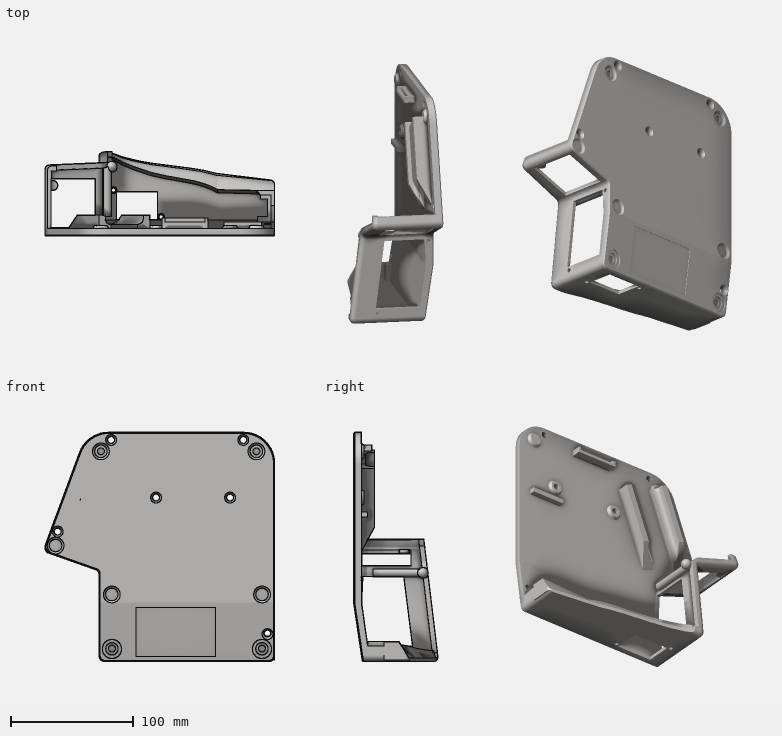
import cadquery as cq
import math

width = 187.63
height = 187.32
back_foot_y = 69.42

plate = 6.35
bend_z = 48.3
lean_back = 7.2
lean_angle = math.degrees(math.atan(lean_back / bend_z))
lean_thickness = plate / math.cos(math.radians(lean_angle))
front_wall_y = lean_back + lean_thickness
front_chamfer = 1.0

side_x = 44.2
flare_tip = (-1.46, 90.3)
flare_root_z = 74.1
slope_top_x = 34.4
top_radius = 25.4
corner_radius = 5.0
root_radius = 3.8

wall = 3.0
rim_width = 7.0
rim_thickness = 4.3
flare_top_z = 100.0
sill_z = 12.7
back_slope = 0.12
back_fillet = 4.0
left_end_x = 55.0

outer_curve = [(left_end_x, 67.9), (65.9, 64.0), (99.0, 58.0), (140.2, 51.3)]
outer_corner_y = 46.0
outer_corner_radius = 4.0
crest_curve = [
    (left_end_x, 65.0),
    (62.8, 60.8),
    (75.0, 55.9),
    (90.0, 51.2),
    (132.8, 41.9),
    (141.0, 38.0),
]
crest_corner = (173.0, 37.1)
crest_end = (176.0, 33.5)
lip_base_z = wall / 2
crest_left_z = 9.0
crest_right_z = 16.4
lip_width = 2.6
lip_front_y = 25.0

pillar_x = 51.3
pillar_z = 72.5
pillar_d = 6.6
pillar_y = (16.0, 57.0)
knob_centre = (54.6, 56.6, pillar_z)
knob_d = 8.8

side_window = [(11.5, sill_z), (6.7, bend_z), (7.7, 69.5), (40.9, 69.5), (48.1, sill_z)]
flare_window_x = (5.1, 41.0)
flare_window_y = (6.9, 46.8)
floor_window_x = (58.6, 91.8)
floor_window_y = (front_wall_y, 36.1)
tab_centre = (6.5, 41.4)
tab_d = 8.2
tab_z = (88.6, 91.5)

screw_d = 5.5
screw_sink_d = 8.89
screw_sink_depth = 3.0
corner_screws = [(54.1, 181.0), (162.0, 181.0), (10.5, 106.2)]
middle_screws = [(90.8, 134.0), (151.2, 134.0)]
lean_screw = (181.7, 22.6)
foot_d = 13.7
foot_floor_d = 10.16
foot_depth = 1.77
foot_pin_d = 5.59
foot_pin_depth = 1.5
pinned_feet = [(45.8, 171.7), (172.7, 171.7)]
plain_feet = [(8.8, 94.8), (54.7, 54.9), (177.3, 54.9)]
lean_feet = [(54.8, 10.3), (177.2, 10.3)]
lean_foot_steps = [(15.7, 1.2), (10.16, 2.4), (5.61, 3.6)]
label_x = (74.3, 139.2)
label_z = (4.4, 44.3)
label_depth = 0.5

boss_base_d = 14.0
boss_top_d = 10.16
boss_height = 2.3
root_depth = 0.5
rail_corner = (44.1, 172.9)
rail_back_y = 17.2
rail_ledge_y = 9.7
rail_arc_y = 14.5
rail_width = 5.6
rail_foot_width = 10.6
rail_pair_width = 44.3
rail_base_length = 72.0
rail_top_length = 51.0
upper_bar_x = (95.5, 133.0)
upper_bar_y = 14.9
upper_bar_z = (172.0, 177.0)
bar_notch_x = (98.0, 130.7)
bar_notch_y = 11.5
bar_notch_z = 174.5
lower_bar_x = (146.2, 177.0)
lower_bar_y = 11.5
lower_bar_z = (118.0, 122.0)

holder_top_z = 16.7
holder_outer_x = width - wall
holder_back_x = (181.9, holder_outer_x)
holder_back_flange = ((176.1, holder_outer_x), (30.5, 33.8))
holder_front_flange = ((173.6, holder_outer_x), (11.5, 16.2))

pin_hole_d = 3.5
pin_hole_depth = 2.5
side_pins = [(46.3, 9.4), (4.8, 67.8)]
floor_screw_d = 3.5
floor_sink_d = 5.5
floor_sink_depth = 1.0
floor_screws = [(56.0, 37.6), (94.9, 15.7)]

far = 300.0
tolerance = 0.01


def front_y(z):
    """Y of the front face at height z."""
    return lean_back * max(0.0, 1.0 - z / bend_z)


def back_y(z):
    """Y of the sloping back plane at height z."""
    return back_foot_y - back_slope * z


def box(x, y, z):
    """Box between the (low, high) limits on each axis."""
    size = [high - low for low, high in (x, y, z)]
    return cq.Workplane("XY").box(*size, centered=False).translate((x[0], y[0], z[0]))


def round_bar(start, direction, length, start_d, end_d=None):
    """Cylinder, or cone when end_d differs, from start along direction."""
    place = (cq.Vector(*start), cq.Vector(*direction))
    if end_d is None:
        return cq.Workplane("XY").add(cq.Solid.makeCylinder(start_d / 2, length, *place))
    return cq.Workplane("XY").add(cq.Solid.makeCone(start_d / 2, end_d / 2, length, *place))


def outline(inset=0.0):
    """Shell outline, moved inwards by inset, as a long bar along Y."""
    points = [
        (side_x, 0),
        (width, 0),
        (width, height),
        (slope_top_x, height),
        flare_tip,
        (side_x, flare_root_z),
    ]
    bar = cq.Workplane("XZ").polyline(points).close().extrude(-far)
    bar = bar.edges("|Y").edges(">Z").fillet(top_radius)
    bar = bar.edges("|Y").edges("<Z or <X").fillet(corner_radius)
    root_edge = cq.selectors.NearestToPointSelector((side_x, far / 2, flare_root_z))
    bar = bar.edges("|Y").edges(root_edge).fillet(root_radius)
    if inset:
        wire = bar.faces("<Y").wires().vals()[0].offset2D(-inset)[0]
        bar = cq.Workplane("XY").add(cq.Solid.extrudeLinear(wire, [], cq.Vector(0, far, 0)))
    return bar


def side_profile(points):
    """Prism along X of an outline given in Y and Z."""
    return cq.Workplane("YZ").polyline(points).close().extrude(2 * far, both=True)


def behind_plate(low_z, back_offset=None):
    """Space behind the plate above low_z, up to back_offset in front of the back plane."""
    low_back, high_back = far, far
    if back_offset is not None:
        low_back = back_y(low_z) - back_offset
        high_back = back_y(height) - back_offset
    points = [
        (front_y(low_z) + lean_thickness, low_z),
        (plate, bend_z),
        (plate, height),
        (high_back, height),
        (low_back, low_z),
    ]
    return side_profile(points)


def front_rim(body):
    """Outer edges of the front, without the line where it bends."""
    rim = []
    for edge in body.edges().vals():
        ends = [edge.startPoint(), edge.endPoint()]
        on_front = all(abs(p.y - front_y(p.z)) < tolerance for p in ends)
        on_bend = all(abs(p.z - bend_z) < tolerance for p in ends)
        if on_front and not on_bend:
            rim.append(edge)
    return rim


def block():
    """Solid outer body with its rounded back and chamfered front."""
    points = [
        (front_y(0), 0),
        (0, bend_z),
        (0, height),
        (back_y(height), height),
        (back_y(0), 0),
    ]
    body = outline().intersect(side_profile(points))
    body = body.faces(">Y").edges().fillet(back_fillet)
    return body.newObject(front_rim(body)).chamfer(front_chamfer)


def shell():
    """Hollow the body and open it at the top, the right and the back."""
    cavity = outline(wall).intersect(behind_plate(wall, rim_thickness))
    back_opening = outline(rim_width).intersect(behind_plate(wall))
    body = block().cut(cavity).cut(back_opening)
    body = body.cut(box((-far, far), (plate, far), (flare_top_z, far)))
    right_opening = behind_plate(sill_z).intersect(box((left_end_x, far), (0, far), (0, far)))
    return body.cut(right_opening)


def curved_back(body):
    """Trim the back of the floor to its curve and add the sloping lip."""
    behind_crest = box((left_end_x, far), (crest_end[1], far), (wall, far))
    body = body.cut(behind_crest)

    crest_slope = (crest_right_z - crest_left_z) / (width - left_end_x)
    stretch = math.hypot(1, crest_slope)
    crest_plane = cq.Plane(
        origin=(left_end_x, 0, crest_left_z), xDir=(1, 0, crest_slope), normal=(-crest_slope, 0, 1)
    )

    def on_crest(points):
        """X, Y points as coordinates in the tilted plane of the crest."""
        return [((x - left_end_x) * stretch, y) for x, y in points]

    def ruled_solid(lower, upper):
        """Solid with straight sides between two closed outlines."""
        wires = [lower.wires().val(), upper.wires().val()]
        return cq.Workplane("XY").add(cq.Solid.makeLoft(wires, True))

    def closed_outline(plane, curve, corners):
        """Smooth curve closed by straight lines through the corners."""
        sketch = cq.Workplane(plane).spline(curve)
        for corner in corners:
            sketch = sketch.lineTo(*corner)
        return sketch.close()

    lip_front = [(width, lip_front_y), (left_end_x, lip_front_y)]
    base_plane = cq.Plane.XY(origin=(0, 0, lip_base_z))
    base = closed_outline(base_plane, outer_curve, [(width, outer_corner_y)] + lip_front)
    crest_corners = [(width, crest_corner[1])] + lip_front
    crest = closed_outline(crest_plane, on_crest(crest_curve), on_crest(crest_corners))
    lip = ruled_solid(base, crest)

    floor_plane = cq.Plane.XY(origin=(0, 0, wall))
    foot_curve = [(x, y - lip_width) for x, y in crest_curve]
    foot_corner = (crest_corner[0], crest_corner[1] - lip_width)
    inner_corners = [crest_end, (width - wall, crest_end[1]), (width - wall, 0), (left_end_x, 0)]
    foot = closed_outline(floor_plane, foot_curve, [foot_corner] + inner_corners)
    inner_crest = closed_outline(
        crest_plane, on_crest(crest_curve), on_crest([crest_corner] + inner_corners)
    )
    body = body.union(lip.cut(ruled_solid(foot, inner_crest)))

    radius = outer_corner_radius
    diagonal = radius * math.sqrt(0.5)
    centre = (width - radius, outer_corner_y - radius)
    trim = cq.Workplane("XY").spline(outer_curve).lineTo(centre[0], outer_corner_y)
    trim = trim.threePointArc((centre[0] + diagonal, centre[1] + diagonal), (width, centre[1]))
    trim = trim.lineTo(far, centre[1]).lineTo(far, far).lineTo(left_end_x, far).close()
    return body.cut(trim.extrude(far))


def add_pillar(body):
    """Round pillar along Y at the flare root with a ball at its back end."""
    start = (pillar_x, pillar_y[0], pillar_z)
    pillar = round_bar(start, (0, 1, 0), pillar_y[1] - pillar_y[0], pillar_d)
    knob = cq.Workplane("XY").sphere(knob_d / 2).translate(knob_centre)
    return body.union(pillar.union(knob))


def inward(z):
    """Direction into the plate at height z, square to its front face."""
    if z > bend_z:
        return (0, 1, 0)
    angle = math.radians(lean_angle)
    return (0, math.cos(angle), math.sin(angle))


def cut_windows(body):
    """Openings in the side, flare and floor walls, and the tab in the flare window."""
    side = side_profile(side_window)
    side = side.intersect(box((0, side_x + 2 * wall), (0, far), (0, far)))
    flare = box(flare_window_x, flare_window_y, (sill_z, flare_top_z))
    flare = flare.cut(box((side_x - wall, far), (0, far), (0, flare_root_z - wall)))
    floor = box(floor_window_x, floor_window_y, (-wall, 2 * wall))
    tab = round_bar((*tab_centre, tab_z[0]), (0, 0, 1), tab_z[1] - tab_z[0], tab_d)
    return body.cut(side).cut(flare).cut(floor).union(tab)


def add_bosses(body):
    """Low cones behind the middle screws and the pinned feet."""
    for x, z in middle_screws + pinned_feet:
        start = (x, plate - root_depth, z)
        body = body.union(round_bar(start, (0, 1, 0), boss_height + root_depth, boss_base_d, boss_top_d))
    return body


def add_rails(body):
    """Two facing rails with hollow inner corners, parallel to the sloping edge."""
    run = slope_top_x - flare_tip[0]
    rise = height - flare_tip[1]
    along = cq.Vector(-run, 0, -rise).normalized()
    across = cq.Vector(rise, 0, -run).normalized()
    corner = (rail_corner[0], plate, rail_corner[1])
    end_plane = cq.Plane(origin=corner, xDir=across.toTuple(), normal=(-along).toTuple())
    lengthwise = cq.Plane(origin=corner, xDir=along.toTuple(), normal=across.toTuple())

    top = rail_back_y - plate
    ledge = rail_ledge_y - plate
    arc_start = rail_arc_y - plate
    arc_bulge = math.sqrt(0.5)
    arc_middle = (
        rail_foot_width - (rail_foot_width - rail_width) * arc_bulge,
        arc_start - (arc_start - ledge) * arc_bulge,
    )

    def rail(place):
        """One rail; place turns a distance from the outer side into one across the pair."""
        section = cq.Workplane(end_plane).moveTo(place(0), -root_depth)
        section = section.lineTo(place(0), top).lineTo(place(rail_width), top)
        section = section.lineTo(place(rail_width), arc_start)
        section = section.threePointArc(
            (place(arc_middle[0]), arc_middle[1]), (place(rail_foot_width), ledge)
        )
        section = section.lineTo(place(rail_foot_width), -root_depth).close()
        return section.extrude(-rail_base_length)

    rails = rail(lambda n: n).union(rail(lambda n: rail_pair_width - n))
    ramp = [
        (rail_base_length, 0),
        (rail_top_length, top),
        (rail_base_length, top),
    ]
    ramp_cut = cq.Workplane(lengthwise).polyline(ramp).close().extrude(far, both=True)
    return body.union(rails.cut(ramp_cut))


def add_bars(body):
    """Notched bar near the top and plain bar lower down, behind the plate."""
    upper = box(upper_bar_x, (plate - root_depth, upper_bar_y), upper_bar_z)
    upper = upper.cut(box(bar_notch_x, (bar_notch_y, far), (bar_notch_z, far)))
    lower = box(lower_bar_x, (plate - root_depth, lower_bar_y), lower_bar_z)
    return body.union(upper).union(lower)


def add_holder(body):
    """C-shaped holder standing on the floor at the right wall."""
    z_range = (wall - root_depth, holder_top_z)
    back = box(holder_back_x, (holder_front_flange[1][0], holder_back_flange[1][1]), z_range)
    for x_range, y_range in (holder_back_flange, holder_front_flange):
        back = back.union(box(x_range, y_range, z_range))
    return body.union(back)


def cut_front(body):
    """Countersunk screws, foot recesses and label recess in the front."""
    for x, z in corner_screws + middle_screws + [lean_screw]:
        start = (x, front_y(z), z)
        sink = round_bar(start, inward(z), screw_sink_depth, screw_sink_d, screw_d)
        hole = round_bar(start, inward(z), 2 * plate, screw_d)
        body = body.cut(sink).cut(hole)
    for x, z in pinned_feet + plain_feet:
        body = body.cut(round_bar((x, 0, z), (0, 1, 0), foot_depth, foot_d, foot_floor_d))
    for x, z in pinned_feet:
        body = body.cut(round_bar((x, 0, z), (0, 1, 0), foot_depth + foot_pin_depth, foot_pin_d))
    for x, z in lean_feet:
        for diameter, step in lean_foot_steps:
            body = body.cut(round_bar((x, front_y(z), z), inward(z), step, diameter))
    label = side_profile(
        [
            (0, label_z[0]),
            (front_y(label_z[0]) + label_depth, label_z[0]),
            (front_y(label_z[1]) + label_depth, label_z[1]),
            (0, label_z[1]),
        ]
    )
    return body.cut(label.intersect(box(label_x, (0, far), (0, far))))


def cut_small_holes(body):
    """Blind pin holes in the left side and countersunk holes through the floor."""
    for y, z in side_pins:
        body = body.cut(round_bar((side_x, y, z), (1, 0, 0), pin_hole_depth, pin_hole_d))
    for x, y in floor_screws:
        body = body.cut(round_bar((x, y, 0), (0, 0, 1), 2 * wall, floor_screw_d))
        sink_z = wall - floor_sink_depth
        body = body.cut(round_bar((x, y, sink_z), (0, 0, 1), wall, floor_sink_d))
    return body


result = curved_back(shell())
result = add_pillar(result)
result = cut_windows(result)
result = add_bosses(result)
result = add_rails(result)
result = add_bars(result)
result = add_holder(result)
result = cut_front(result)
result = cut_small_holes(result)